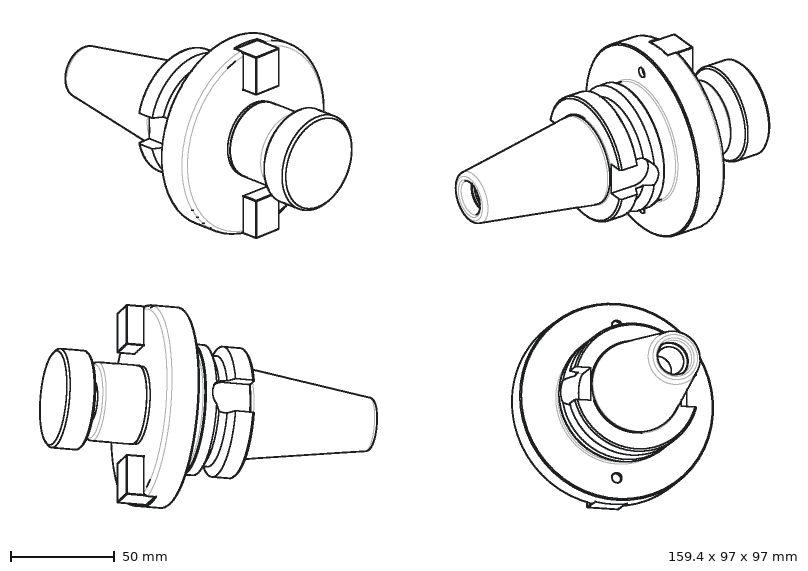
import cadquery as cq
import math

TAPER_END_X = 65.4
V_FLANGE_X = 67.3
V_FLANGE_END_X = 92.5
DISC_X = 100.5
DISC_END_X = 116.4
SPIGOT_END_X = 140.0
HEAD_X = 145.0
HEAD_END_X = 159.4

TAPER_BIG_RADIUS = 22.3
TAPER_RATIO = 7 / 24
TAPER_SMALL_RADIUS = TAPER_BIG_RADIUS - TAPER_END_X * TAPER_RATIO / 2
TAPER_END_FILLET = 1.9
TAPER_ROOT_FILLET = 0.5
BORE_RADIUS = 17.0 / 2
BORE_DEPTH = 9.0
BORE_MOUTH_FILLET = 1.0
INNER_BORE_RADIUS = 13.9 / 2
INNER_BORE_DEPTH = 30.3
UNDERCUT_RADIUS = 17.5 / 2
UNDERCUT_X = 7.0
UNDERCUT_RUN = 0.6

V_FLANGE_RADIUS = 31.5
V_FLANGE_CHAMFER = 1.0
V_FLANGE_REAR_CHAMFER = 0.5
GROOVE_FLOOR_RADIUS = 26.8
GROOVE_FLOOR_WIDTH = 4.1
GROOVE_CENTRE_X = 81.8
GROOVE_HALF_ANGLE = 30
SLOT_WIDTH = 16.1
SLOT_FLOOR_Y = 22.6
SLOT_END_X = 88.8

NECK_RADIUS = 60.0 / 2
NECK_FILLET = 0.8
DISC_RADIUS = 97.0 / 2
DISC_CHAMFER = 0.6
DISC_FILLET = 1.9
SPIGOT_RADIUS = 38.1 / 2
SPIGOT_RELIEF_RADIUS = 37.6 / 2
SPIGOT_RELIEF_WIDTH = 1.8
SPIGOT_FILLET = 1.3

KEY_X = 110.1
KEY_END_X = 125.0
KEY_WIDTH = 16.0
KEY_HEIGHT = 19.8
KEY_CHAMFER = 0.3
KEY_CENTRE_RADIUS = 37.6
DISC_HOLE_DIAMETER = 5.0
DISC_HOLE_DEPTH = 2.0
DISC_HOLE_CENTRE_RADIUS = KEY_CENTRE_RADIUS
KEY_ANGLES = (0, 180)

HEAD_RADIUS = 48.0 / 2
HEAD_INNER_CHAMFER = 1.0
HEAD_OUTER_CHAMFER = 1.3
SHANK_RADIUS = 19.1 / 2
SHANK_DEPTH = 30.3
SHANK_RELIEF_RADIUS = 18.2 / 2
SHANK_RELIEF_X = 141.2
SHANK_RELIEF_RUN = 1.5
SHANK_FILLET = 0.8
SHANK_TIP_X = SPIGOT_END_X - SHANK_DEPTH


def revolve_about_x(profile):
    """Close an (x, radius) outline and spin it around the X axis."""
    return profile.close().revolve(360, (0, 0, 0), (1, 0, 0))


def make_blank():
    """Turned outside of the arbor, without its bores and slots."""
    groove_half_floor = GROOVE_FLOOR_WIDTH / 2
    groove_flank = (V_FLANGE_RADIUS - GROOVE_FLOOR_RADIUS) * math.tan(math.radians(GROOVE_HALF_ANGLE))
    groove_half_top = groove_half_floor + groove_flank
    relief_end_x = DISC_END_X + SPIGOT_RELIEF_WIDTH
    taper_fillet_radius = TAPER_SMALL_RADIUS + TAPER_END_FILLET * TAPER_RATIO / 2

    profile = (
        cq.Workplane("XY")
        .moveTo(0, 0)
        .lineTo(0, taper_fillet_radius - TAPER_END_FILLET)
        .radiusArc((TAPER_END_FILLET, taper_fillet_radius), TAPER_END_FILLET)
        .lineTo(TAPER_END_X, TAPER_BIG_RADIUS)
        .lineTo(V_FLANGE_X - TAPER_ROOT_FILLET, TAPER_BIG_RADIUS)
        .radiusArc((V_FLANGE_X, TAPER_BIG_RADIUS + TAPER_ROOT_FILLET), -TAPER_ROOT_FILLET)
        .lineTo(V_FLANGE_X, V_FLANGE_RADIUS - V_FLANGE_CHAMFER)
        .lineTo(V_FLANGE_X + V_FLANGE_CHAMFER, V_FLANGE_RADIUS)
        .lineTo(GROOVE_CENTRE_X - groove_half_top, V_FLANGE_RADIUS)
        .lineTo(GROOVE_CENTRE_X - groove_half_floor, GROOVE_FLOOR_RADIUS)
        .lineTo(GROOVE_CENTRE_X + groove_half_floor, GROOVE_FLOOR_RADIUS)
        .lineTo(GROOVE_CENTRE_X + groove_half_top, V_FLANGE_RADIUS)
        .lineTo(V_FLANGE_END_X - V_FLANGE_REAR_CHAMFER, V_FLANGE_RADIUS)
        .lineTo(V_FLANGE_END_X, V_FLANGE_RADIUS - V_FLANGE_REAR_CHAMFER)
        .lineTo(V_FLANGE_END_X, NECK_RADIUS + NECK_FILLET)
        .radiusArc((V_FLANGE_END_X + NECK_FILLET, NECK_RADIUS), -NECK_FILLET)
        .lineTo(DISC_X - NECK_FILLET, NECK_RADIUS)
        .radiusArc((DISC_X, NECK_RADIUS + NECK_FILLET), -NECK_FILLET)
        .lineTo(DISC_X, DISC_RADIUS - DISC_CHAMFER)
        .lineTo(DISC_X + DISC_CHAMFER, DISC_RADIUS)
        .lineTo(DISC_END_X - DISC_FILLET, DISC_RADIUS)
        .radiusArc((DISC_END_X, DISC_RADIUS - DISC_FILLET), DISC_FILLET)
        .lineTo(DISC_END_X, SPIGOT_RELIEF_RADIUS)
        .lineTo(relief_end_x, SPIGOT_RELIEF_RADIUS)
        .lineTo(relief_end_x, SPIGOT_RADIUS)
        .lineTo(SPIGOT_END_X - SPIGOT_FILLET, SPIGOT_RADIUS)
        .radiusArc((SPIGOT_END_X, SPIGOT_RADIUS - SPIGOT_FILLET), SPIGOT_FILLET)
        .lineTo(SPIGOT_END_X, 0)
    )
    return revolve_about_x(profile)


def make_drawbar_bore():
    """Stepped blind bore in the small end of the taper."""
    profile = (
        cq.Workplane("XY")
        .moveTo(0, 0)
        .lineTo(0, BORE_RADIUS + BORE_MOUTH_FILLET)
        .radiusArc((BORE_MOUTH_FILLET, BORE_RADIUS), -BORE_MOUTH_FILLET)
        .lineTo(UNDERCUT_X, BORE_RADIUS)
        .lineTo(UNDERCUT_X + UNDERCUT_RUN, UNDERCUT_RADIUS)
        .lineTo(BORE_DEPTH, UNDERCUT_RADIUS)
        .lineTo(BORE_DEPTH, INNER_BORE_RADIUS)
        .lineTo(INNER_BORE_DEPTH, INNER_BORE_RADIUS)
        .lineTo(INNER_BORE_DEPTH, 0)
    )
    return revolve_about_x(profile)


def make_drive_slots():
    """Two round-ended slots, open toward the taper, on the -Y and +Y sides."""
    end_centre_x = SLOT_END_X - SLOT_WIDTH / 2
    half_width = SLOT_WIDTH / 2
    slot = (
        cq.Workplane("XZ", origin=(0, -SLOT_FLOOR_Y, 0))
        .moveTo(V_FLANGE_X, -half_width)
        .lineTo(end_centre_x, -half_width)
        .threePointArc((SLOT_END_X, 0), (end_centre_x, half_width))
        .lineTo(V_FLANGE_X, half_width)
        .close()
        .extrude(V_FLANGE_RADIUS - SLOT_FLOOR_Y)
    )
    return slot.union(slot.mirror("XZ"))


def make_key(angle):
    """Rectangular drive key, turned to its place around the X axis."""
    length = KEY_END_X - KEY_X
    return (
        cq.Workplane("XY")
        .box(length, KEY_WIDTH, KEY_HEIGHT)
        .edges()
        .chamfer(KEY_CHAMFER)
        .translate((KEY_X + length / 2, 0, KEY_CENTRE_RADIUS))
        .rotate((0, 0, 0), (1, 0, 0), angle)
    )


def make_key_seat(angle):
    """Pocket for one key, open at the rim of the disc."""
    floor_radius = KEY_CENTRE_RADIUS - KEY_HEIGHT / 2
    depth = DISC_END_X - KEY_X
    height = DISC_RADIUS - floor_radius
    return (
        cq.Workplane("XY")
        .box(depth, KEY_WIDTH, height)
        .translate((KEY_X + depth / 2, 0, floor_radius + height / 2))
        .rotate((0, 0, 0), (1, 0, 0), angle)
    )


def make_disc_hole(angle):
    """Shallow blind hole in the disc face, in line with one key."""
    return (
        cq.Workplane("YZ", origin=(DISC_X, 0, DISC_HOLE_CENTRE_RADIUS))
        .circle(DISC_HOLE_DIAMETER / 2)
        .extrude(DISC_HOLE_DEPTH)
        .rotate((0, 0, 0), (1, 0, 0), angle)
    )


def make_screw_hole():
    """Blind hole in the spigot that receives the shank of the clamping screw."""
    return cq.Workplane("YZ", origin=(SHANK_TIP_X, 0, 0)).circle(SHANK_RADIUS).extrude(SHANK_DEPTH)


def make_arbor():
    """Tapered arbor with its flanges, spigot, bores, slots and key seats."""
    arbor = make_blank().cut(make_drawbar_bore()).cut(make_drive_slots()).cut(make_screw_hole())
    for angle in KEY_ANGLES:
        arbor = arbor.cut(make_key_seat(angle)).cut(make_disc_hole(angle))
    return arbor


def make_clamping_screw():
    """Large-headed screw with a relief under its head."""
    profile = (
        cq.Workplane("XY")
        .moveTo(SHANK_TIP_X, 0)
        .lineTo(SHANK_TIP_X, SHANK_RADIUS)
        .lineTo(SHANK_RELIEF_X, SHANK_RADIUS)
        .lineTo(SHANK_RELIEF_X + SHANK_RELIEF_RUN, SHANK_RELIEF_RADIUS)
        .lineTo(HEAD_X - SHANK_FILLET, SHANK_RELIEF_RADIUS)
        .radiusArc((HEAD_X, SHANK_RELIEF_RADIUS + SHANK_FILLET), -SHANK_FILLET)
        .lineTo(HEAD_X, HEAD_RADIUS - HEAD_INNER_CHAMFER)
        .lineTo(HEAD_X + HEAD_INNER_CHAMFER, HEAD_RADIUS)
        .lineTo(HEAD_END_X - HEAD_OUTER_CHAMFER, HEAD_RADIUS)
        .lineTo(HEAD_END_X, HEAD_RADIUS - HEAD_OUTER_CHAMFER)
        .lineTo(HEAD_END_X, 0)
    )
    return revolve_about_x(profile)


arbor = make_arbor()
keys = [make_key(angle) for angle in KEY_ANGLES]
clamping_screw = make_clamping_screw()

result = cq.Compound.makeCompound([arbor.val(), *[key.val() for key in keys], clamping_screw.val()])